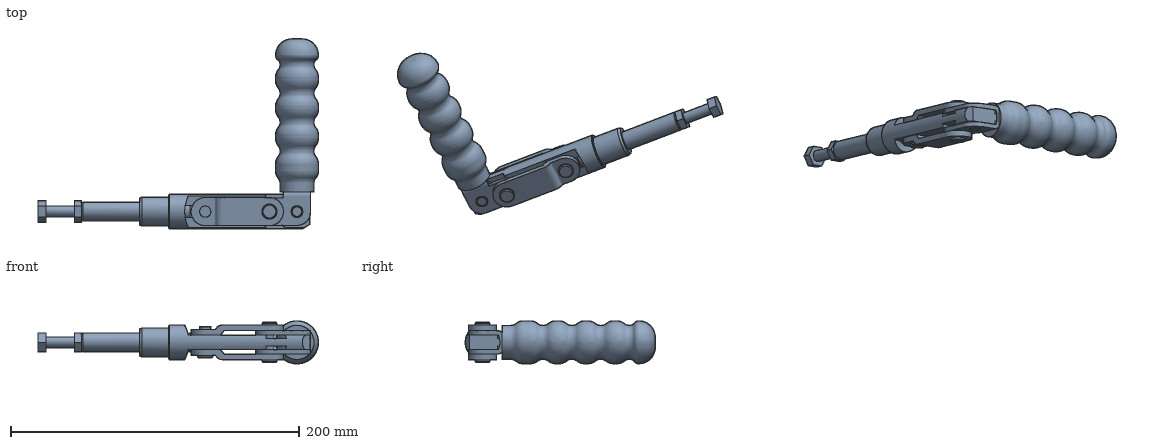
import cadquery as cq
import math


nut_start = 25.3
plunger_start = 30.2
collar_start = 70.5
housing_start = 90.7
flat_start = 101.8
link_pin_x = 116.0
lever_pin_x = 160.5
pivot_x = 179.7
housing_end = 188.6

groove_floor_z = 2.5
flat_z = 5.0
lever_thickness = 3.1
link_thickness = 3.9
lever_top_z = flat_z + lever_thickness
link_top_z = lever_top_z + link_thickness
link_low_top_z = flat_z + link_thickness

hex_across_flats = 13.0
head_length = 5.6
shank_radius = 3.9
shank_depth = 19.5

plunger_radius = 6.6
plunger_chamfer = 1.0
plunger_flat_start = 105.5
plunger_end = link_pin_x + plunger_radius

collar_radius = 10.1
collar_chamfer_length = 1.8
collar_chamfer_depth = 0.8
housing_radius = 12.0
housing_chamfer = 0.5
flat_wall_sagitta = 2.5
corner_cut_x = 5.3
corner_cut_y = 3.1
pivot_radius = 4.0
pivot_chamfer = 0.8

link_end_radius = 9.7
top_jog_start = 122.5
top_jog_run = 5.5
top_jog_first_rise = 1.2
bottom_jog_start = 126.7
bottom_jog_run = 2.5
link_pin_radius = 3.9
link_pin_top_z = 10.9
rivet_radius = 5.3
rivet_chamfer = 0.8
lever_pin_radius = 3.3
lever_rivet_top_z = 14.0
groove_half_width = 5.3

lever_end_radius = 9.5
neck_start_y = 10.3
neck_end_half_z = 6.8
grip_start_y = 13.6
grip_top_y = 120.0
grip_radius = 15.0
grip_waist_radius = 11.9
ridge_pitch = 20.0
ridge_count = 3
ridge_flat = 2.3
base_collar_end_y = 19.9
base_ridge_flat_start_y = 28.0
base_waist_rise = 3.5
base_ridge_flat_end_y = 33.0
ridge_rise = 5.3
waist_rise = 3.1
cap_waist_y = 102.2
cap_edge_y = 108.5

all_through_x = 233.5
all_through_z = 77.9


def rod(start, end, radius):
    """Round bar on the plunger axis."""
    return cq.Workplane("YZ", origin=(start, 0, 0)).circle(radius).extrude(end - start)


def hexagon(start, end):
    """Hexagonal prism on the plunger axis, with corners pointing along Y."""
    diameter = hex_across_flats / math.cos(math.pi / 6)
    return cq.Workplane("YZ", origin=(start, 0, 0)).polygon(6, diameter).extrude(end - start)


def upright_pin(x, bottom, top, radius):
    """Round pin parallel to Z."""
    return cq.Workplane("XY", origin=(x, 0, bottom)).circle(radius).extrude(top - bottom)


def both_sides(shape):
    """The shape together with its mirror image below the middle plane."""
    return shape.union(shape.mirror("XY"))


def add_s_curve(sketch, start, end, first_rise):
    """Two tangent arcs joining straight stretches that run along the second coordinate.

    The arcs meet first_rise past the start, measured along the second coordinate.
    """
    drop = end[0] - start[0]
    run = end[1] - start[1]
    angle = 2 * math.atan(abs(drop) / run)
    side = math.copysign(1, drop)
    first_radius = first_rise / math.sin(angle)
    second_radius = (run - first_rise) / math.sin(angle)

    def after_start(turn):
        sideways = side * first_radius * (1 - math.cos(turn))
        return (start[0] + sideways, start[1] + first_radius * math.sin(turn))

    def before_end(turn):
        sideways = side * second_radius * (1 - math.cos(turn))
        return (end[0] - sideways, end[1] - second_radius * math.sin(turn))

    sketch = sketch.threePointArc(after_start(angle / 2), after_start(angle))
    return sketch.threePointArc(before_end(angle / 2), end)


def make_spindle():
    shank = rod(0, plunger_start + shank_depth, shank_radius)
    return shank.union(hexagon(0, head_length)).union(hexagon(nut_start, plunger_start))


def make_plunger():
    plunger = rod(plunger_start, plunger_end, plunger_radius).faces("<X").chamfer(plunger_chamfer)
    flat_length = plunger_end - plunger_flat_start
    flat_cut = (
        cq.Workplane("XY", origin=(plunger_flat_start, -plunger_radius, flat_z))
        .rect(flat_length, 2 * plunger_radius, centered=False)
        .extrude(plunger_radius)
    )
    screw_hole = rod(plunger_start, plunger_start + shank_depth, shank_radius)
    pin_hole = upright_pin(link_pin_x, -all_through_z, all_through_z, link_pin_radius)
    return plunger.cut(both_sides(flat_cut)).cut(screw_hole).cut(pin_hole)


def make_housing():
    profile = [
        (collar_start, 0),
        (collar_start, collar_radius - collar_chamfer_depth),
        (collar_start + collar_chamfer_length, collar_radius),
        (housing_start, collar_radius),
        (housing_start, housing_radius - housing_chamfer),
        (housing_start + housing_chamfer, housing_radius),
        (housing_end, housing_radius),
        (housing_end, 0),
    ]
    housing = cq.Workplane("XY").polyline(profile).close().revolve(360, (0, 0, 0), (1, 0, 0))

    flat_half_width = math.sqrt(housing_radius**2 - flat_z**2)
    wall_radius = (flat_half_width**2 + flat_wall_sagitta**2) / (2 * flat_wall_sagitta)
    wall_reach = flat_start + wall_radius - math.sqrt(wall_radius**2 - housing_radius**2)
    flat_cut = (
        cq.Workplane("XY", origin=(0, 0, flat_z))
        .moveTo(wall_reach, -housing_radius)
        .threePointArc((flat_start, 0), (wall_reach, housing_radius))
        .lineTo(housing_end, housing_radius)
        .lineTo(housing_end, -housing_radius)
        .close()
        .extrude(housing_radius)
    )

    pin_swing = pivot_x - lever_pin_x
    groove = (
        cq.Workplane("XY", origin=(pivot_x, 0, groove_floor_z))
        .circle(pin_swing + groove_half_width)
        .circle(pin_swing - groove_half_width)
        .extrude(housing_radius)
    )

    corner_profile = [
        (housing_end, -housing_radius),
        (housing_end - corner_cut_x, -housing_radius),
        (housing_end, corner_cut_y - housing_radius),
    ]
    corner = cq.Workplane("XY").polyline(corner_profile).close().extrude(housing_radius, both=True)

    bore = rod(collar_start, plunger_end, plunger_radius)
    pivot = upright_pin(pivot_x, -lever_top_z, lever_top_z, pivot_radius)
    pivot = pivot.faces("<Z or >Z").chamfer(pivot_chamfer)
    return housing.cut(both_sides(flat_cut.union(groove))).cut(corner).cut(bore).union(pivot)


def rivet_head(x, bottom, top):
    """Round pin head parallel to Z, chamfered around its top."""
    return upright_pin(x, bottom, top, rivet_radius).faces(">Z").chamfer(rivet_chamfer)


def make_link_pair():
    link_start = link_pin_x - link_end_radius
    link_end = lever_pin_x + link_end_radius
    profile = cq.Workplane("ZX").moveTo(link_low_top_z, link_start).lineTo(link_low_top_z, top_jog_start)
    top_jog_end = top_jog_start + top_jog_run
    profile = add_s_curve(
        profile, (link_low_top_z, top_jog_start), (link_top_z, top_jog_end), top_jog_first_rise
    )
    profile = (
        profile.lineTo(link_top_z, link_end)
        .lineTo(lever_top_z, link_end)
        .lineTo(lever_top_z, bottom_jog_start + bottom_jog_run)
        .lineTo(flat_z, bottom_jog_start)
        .lineTo(flat_z, link_start)
        .close()
    )
    bent_bar = profile.extrude(link_end_radius, both=True)
    outline = (
        cq.Workplane("XY")
        .center((link_start + link_end) / 2, 0)
        .slot2D(link_end - link_start, 2 * link_end_radius)
        .extrude(link_top_z)
    )
    lever_pin = upright_pin(lever_pin_x, groove_floor_z, link_top_z, lever_pin_radius)
    lever_rivet = rivet_head(lever_pin_x, link_top_z, lever_rivet_top_z)
    links = both_sides(bent_bar.intersect(outline).union(lever_pin).union(lever_rivet))

    plunger_pin = upright_pin(link_pin_x, -link_pin_top_z, link_pin_top_z, link_pin_radius)
    pin_head = rivet_head(link_pin_x, link_low_top_z, link_pin_top_z).mirror("XY")
    return links.union(plunger_pin).union(pin_head)


def make_grip():
    """Grip turned about its own axis; the profile holds (radius, Y) points."""
    curve_run = ridge_rise + waist_rise
    profile = cq.Workplane("XY").moveTo(0, grip_start_y).lineTo(grip_waist_radius, grip_start_y)
    profile = profile.lineTo(grip_waist_radius, base_collar_end_y)

    base_start = (grip_waist_radius, base_collar_end_y)
    profile = add_s_curve(profile, base_start, (grip_radius, base_ridge_flat_start_y), base_waist_rise)
    ridge_end = base_ridge_flat_end_y
    for _ in range(ridge_count):
        next_start = ridge_end + ridge_pitch - ridge_flat
        waist_start = (grip_waist_radius, ridge_end + curve_run)
        waist_end = (grip_waist_radius, next_start - curve_run)
        profile = profile.lineTo(grip_radius, ridge_end)
        profile = add_s_curve(profile, (grip_radius, ridge_end), waist_start, ridge_rise)
        profile = profile.lineTo(*waist_end)
        profile = add_s_curve(profile, waist_end, (grip_radius, next_start), waist_rise)
        ridge_end = next_start + ridge_flat

    last_waist = (grip_waist_radius, ridge_end + curve_run)
    profile = profile.lineTo(grip_radius, ridge_end)
    profile = add_s_curve(profile, (grip_radius, ridge_end), last_waist, ridge_rise)
    cap_start = (grip_waist_radius, cap_waist_y)
    cap_edge = (grip_radius, cap_edge_y)
    profile = profile.lineTo(*cap_start)
    profile = add_s_curve(profile, cap_start, cap_edge, waist_rise)

    dome_radius = grip_top_y - cap_edge_y
    dome_centre = grip_radius - dome_radius
    dome_reach = dome_radius * math.sqrt(0.5)
    profile = profile.threePointArc(
        (dome_centre + dome_reach, cap_edge_y + dome_reach), (dome_centre, grip_top_y)
    )
    profile = profile.lineTo(0, grip_top_y).close()
    return profile.revolve(360, (0, 0, 0), (0, 1, 0)).translate((pivot_x, 0, 0))


def make_handle():
    plate = (
        cq.Workplane("XY", origin=(0, 0, flat_z))
        .center((lever_pin_x + pivot_x) / 2, 0)
        .slot2D(pivot_x - lever_pin_x + 2 * lever_end_radius, 2 * lever_end_radius)
        .extrude(lever_top_z - flat_z)
    )
    upper_arm = (
        cq.Workplane("XY", origin=(pivot_x, neck_start_y / 2, flat_z))
        .rect(2 * lever_end_radius, neck_start_y)
        .extrude(lever_top_z - flat_z)
    )
    plate = plate.union(upper_arm)
    plate = plate.cut(upright_pin(lever_pin_x, 0, all_through_z, lever_pin_radius))

    neck_run = grip_start_y - neck_start_y
    neck_drop = lever_top_z - neck_end_half_z
    bend_angle = 2 * math.atan(neck_drop / neck_run)
    bend_radius = neck_run / math.sin(bend_angle)
    bend_middle_y = neck_start_y + bend_radius * math.sin(bend_angle / 2)
    bend_middle_z = lever_top_z - bend_radius * (1 - math.cos(bend_angle / 2))
    neck = (
        cq.Workplane("YZ", origin=(pivot_x, 0, 0))
        .moveTo(neck_start_y, -lever_top_z)
        .threePointArc((bend_middle_y, -bend_middle_z), (grip_start_y, -neck_end_half_z))
        .lineTo(grip_start_y, neck_end_half_z)
        .threePointArc((bend_middle_y, bend_middle_z), (neck_start_y, lever_top_z))
        .close()
        .extrude(lever_end_radius, both=True)
    )
    housing_path = rod(0, all_through_x, housing_radius).intersect(
        cq.Workplane("XY").box(2 * all_through_x, 2 * housing_radius, 2 * flat_z)
    )
    handle = both_sides(plate).union(neck.cut(housing_path)).union(make_grip())
    pivot_hole = upright_pin(pivot_x, -all_through_z, all_through_z, pivot_radius)
    return handle.cut(pivot_hole)


spindle = make_spindle()
plunger = make_plunger()
housing = make_housing()
link_pair = make_link_pair()
handle = make_handle()

bodies = [spindle, plunger, housing, link_pair, handle]

result = cq.Compound.makeCompound([body.solids().val() for body in bodies])